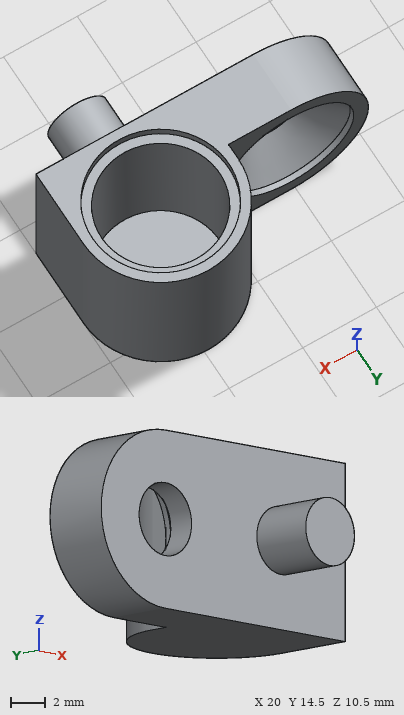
import cadquery as cq

length = 20.0
height = 10.5
plate_thickness = 4.2
eye_hole_diameter = 4.3
eye_sink_diameter = 8.5
eye_sink_rim = 0.4
pin_diameter = 4.0
pin_length = 4.0
bore_diameter = 8.0
bore_floor = 1.0
recess_diameter = 9.25
recess_depth = 0.6

end_radius = height / 2
eye_x = end_radius
barrel_x = length - end_radius
barrel_y = end_radius


def make_plate():
    """Upright plate on the XZ plane with a round end."""
    straight = cq.Workplane("XY").box(length - eye_x, plate_thickness, height, centered=False)
    straight = straight.translate((eye_x, 0, -end_radius))
    round_end = cq.Workplane("XZ").center(eye_x, 0).circle(end_radius).extrude(-plate_thickness)
    return straight.union(round_end)


def make_eye_hole():
    """Through hole with a 90 degree countersink and a short straight rim at the back."""
    hole_radius = eye_hole_diameter / 2
    sink_radius = eye_sink_diameter / 2
    rim_y = plate_thickness - eye_sink_rim
    cone_y = rim_y - (sink_radius - hole_radius)
    half_profile = (
        cq.Workplane("XY")
        .moveTo(0, 0)
        .lineTo(hole_radius, 0)
        .lineTo(hole_radius, cone_y)
        .lineTo(sink_radius, rim_y)
        .lineTo(sink_radius, plate_thickness)
        .lineTo(0, plate_thickness)
        .close()
    )
    return half_profile.revolve(360, (0, 0), (0, 1)).translate((eye_x, 0, 0))


def make_barrel():
    """Vertical barrel with square shoulders that meet the plate's front face."""
    base = cq.Workplane("XY").workplane(offset=-end_radius)
    cylinder = base.center(barrel_x, barrel_y).circle(end_radius).extrude(height)
    shoulders = base.center(barrel_x, barrel_y / 2).rect(height, barrel_y).extrude(height)
    return cylinder.union(shoulders)


def make_socket():
    """Blind bore with a shallow, wider recess at its top."""
    top = cq.Workplane("XY").workplane(offset=end_radius).center(barrel_x, barrel_y)
    bore = top.circle(bore_diameter / 2).extrude(bore_floor - height)
    recess = top.circle(recess_diameter / 2).extrude(-recess_depth)
    return bore.union(recess)


def make_pin():
    """Pin standing out from the front face, in line with the barrel axis."""
    return cq.Workplane("XZ").center(barrel_x, 0).circle(pin_diameter / 2).extrude(pin_length)


body = make_plate().union(make_barrel()).union(make_pin())
result = body.cut(make_socket()).cut(make_eye_hole())